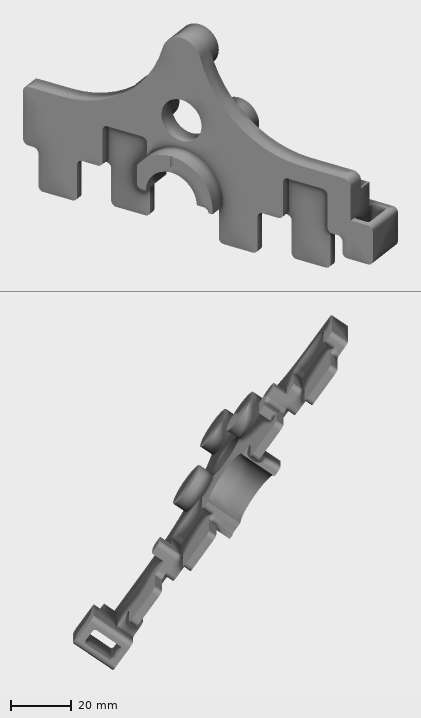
import cadquery as cq
import math


plate_thickness = 6.5
plate_left = -61.4
plate_right = 65.6
wing_top = 22.1
plate_corner_radius = 1.9
right_corner_radius = 3.0

peak_top = 57.2
peak_radius = 15.0 / 2
peak_z = peak_top - peak_radius
flank_start_x = 46.5

boss_diameter = 15.5
hole_diameter = 15.5
boss_rear = 11.4
boss_x = 15.5
hole_z = 26.2

tab_width = 15.0
tab_bottom = -15.9
tab_thickness = 2.8
inner_tab_x = 22.0
outer_tab_x = 48.0
recess_clearance = 1.1
recess_top = 15.9
round_radius = 1.9

arch_center_z = -0.4
arch_outer_radius = 16.0
arch_inner_radius = 9.9
arch_height = plate_thickness
arch_bottom = -1.8
mark_width = 0.8
mark_bottom = 11.2
mark_depth = 0.4

lug_outer_radius = 35.2
lug_inner_x = 26.3
lug_crest_x = 31.8
lug_top = 6.9
lug_corner_z = 5.3
lug_bottom = -6.1
lug_slope_end_z = 3.5
lug_slope_radius = 6.4
lug_corner_radius = 2.7

clip_left = 62.3
clip_right = 74.1
clip_top = 6.9
clip_bottom = -7.7
clip_rear = 16.0
window_right = 71.4
window_front = 2.0
window_rear = 13.4
window_corner_radius = 1.0
step_top = 16.0
step_rear = 11.8


def at_depth(y):
    """Front-facing sketch plane at depth y; extruding by a negative length runs toward +Y."""
    return cq.Workplane("XZ", origin=(0, y, 0))


def box(x_range, y_range, z_range):
    """Box spanning the given ranges."""
    size = [high - low for low, high in (x_range, y_range, z_range)]
    corner = (x_range[0], y_range[0], z_range[0])
    return cq.Workplane("XY").box(*size, centered=False).translate(corner)


def cylinder(x, z, radius, y_front, y_rear):
    """Round bar along Y."""
    return at_depth(y_front).center(x, z).circle(radius).extrude(y_front - y_rear)


def plate_body():
    """Plate above the shoulder line, with flanks tangent to the wings and to the peak boss."""
    rise = peak_z - wing_top
    flank_radius = (flank_start_x**2 + rise**2 - peak_radius**2) / (2 * (rise + peak_radius))
    flank_center_z = wing_top + flank_radius
    peak_angle = math.atan2(flank_center_z - peak_z, flank_start_x)
    tangent_x = peak_radius * math.cos(peak_angle)
    tangent_z = peak_z + peak_radius * math.sin(peak_angle)
    body = (
        at_depth(0)
        .moveTo(plate_left, 0)
        .lineTo(plate_left, wing_top)
        .lineTo(-flank_start_x, wing_top)
        .radiusArc((-tangent_x, tangent_z), -flank_radius)
        .lineTo(tangent_x, tangent_z)
        .radiusArc((flank_start_x, wing_top), -flank_radius)
        .lineTo(plate_right, wing_top)
        .lineTo(plate_right, 0)
        .close()
        .extrude(-plate_thickness)
    )
    body = body.edges("|Y and <X").fillet(plate_corner_radius)
    right_corner = cq.selectors.NearestToPointSelector((plate_right, plate_thickness / 2, wing_top))
    return body.edges("|Y").edges(right_corner).fillet(right_corner_radius)


def tab(x):
    """Full-thickness tab, rounded at its lower corners."""
    half = tab_width / 2
    bar = box((x - half, x + half), (0, plate_thickness), (tab_bottom, recess_top))
    return bar.edges("|Y and <Z").fillet(round_radius)


def shoulder_fillet(wall_x, side):
    """Concave fillet under the shoulder line, on the given side (-1 or +1) of a vertical wall."""
    end_x = wall_x + side * round_radius
    return (
        at_depth(0)
        .moveTo(wall_x, 0)
        .lineTo(end_x, 0)
        .radiusArc((wall_x, -round_radius), side * -round_radius)
        .close()
        .extrude(-plate_thickness)
    )


def recess(x, y_range):
    """Clearance around a neighbouring tab, with rounded top corners and a flared mouth."""
    half = tab_width / 2 + recess_clearance
    pocket = box((x - half, x + half), y_range, (tab_bottom, recess_top))
    pocket = pocket.edges("|Y and >Z").fillet(round_radius)
    mouth_half = half + round_radius
    mouth = (
        at_depth(y_range[0])
        .moveTo(x - mouth_half, 0)
        .radiusArc((x - half, round_radius), -round_radius)
        .lineTo(x + half, round_radius)
        .radiusArc((x + mouth_half, 0), -round_radius)
        .lineTo(x + mouth_half, tab_bottom)
        .lineTo(x - mouth_half, tab_bottom)
        .close()
        .extrude(y_range[0] - y_range[1])
    )
    return pocket.union(mouth)


def lug_blank():
    """Right-hand lug: outer arc, rounded corner and a crest sloping toward the middle."""
    corner_x = math.sqrt(lug_outer_radius**2 - lug_corner_z**2)
    outer_bottom_x = math.sqrt(lug_outer_radius**2 - lug_bottom**2)
    return (
        at_depth(plate_thickness)
        .moveTo(lug_inner_x, lug_bottom)
        .lineTo(lug_inner_x, lug_slope_end_z)
        .radiusArc((lug_crest_x, lug_top), lug_slope_radius)
        .radiusArc((corner_x, lug_corner_z), lug_corner_radius)
        .threePointArc((lug_outer_radius, 0), (outer_bottom_x, lug_bottom))
        .close()
        .extrude(plate_thickness - boss_rear)
    )


def below_shoulder(x_range):
    """Space below the shoulder line behind the plate."""
    return box(x_range, (plate_thickness, boss_rear), (tab_bottom, 0))


front_tabs = (-outer_tab_x, inner_tab_x)
rear_tabs = (-inner_tab_x, outer_tab_x)

result = plate_body()
for tab_x in front_tabs + rear_tabs:
    result = result.union(tab(tab_x))
    for side in (-1, 1):
        result = result.union(shoulder_fillet(tab_x + side * tab_width / 2, side))

arch = cylinder(0, arch_center_z, arch_outer_radius, -arch_height, 0)
arch_reach = (-arch_outer_radius, arch_outer_radius)
arch = arch.cut(box(arch_reach, (-arch_height, 0), (-2 * arch_outer_radius, arch_bottom)))
result = result.union(arch)

tab_gap_half = inner_tab_x - tab_width / 2
foot_half = tab_gap_half - round_radius
opening = (
    at_depth(-arch_height)
    .moveTo(-tab_gap_half, -round_radius)
    .radiusArc((-foot_half, 0), round_radius)
    .lineTo(foot_half, 0)
    .radiusArc((tab_gap_half, -round_radius), round_radius)
    .close()
    .extrude(-arch_height - plate_thickness)
)
result = result.cut(opening)
result = result.cut(cylinder(0, arch_center_z, arch_inner_radius, -arch_height, plate_thickness))

mark = box(
    (-mark_width / 2, mark_width / 2),
    (-arch_height, -arch_height + mark_depth),
    (mark_bottom, arch_outer_radius),
)
result = result.cut(mark)

result = result.union(cylinder(0, peak_z, peak_radius, 0, boss_rear))
for x in (-boss_x, boss_x):
    result = result.union(cylinder(x, hole_z, boss_diameter / 2, plate_thickness, boss_rear))
result = result.cut(cylinder(0, hole_z, hole_diameter / 2, 0, plate_thickness))

left_blank = lug_blank().mirror("YZ")
tab_side_x = -inner_tab_x - tab_width / 2
left_lug = left_blank.cut(below_shoulder((plate_left, tab_side_x)))
corner_fill = shoulder_fillet(tab_side_x, -1).translate((0, plate_thickness, 0))
corner_fill = corner_fill.intersect(left_blank)
right_lug = lug_blank().cut(below_shoulder((0, plate_right)))
result = result.union(left_lug).union(corner_fill).union(right_lug)

for tab_x in rear_tabs:
    result = result.cut(recess(tab_x, (-arch_height, plate_thickness - tab_thickness)))
for tab_x in front_tabs:
    result = result.cut(recess(tab_x, (tab_thickness, boss_rear)))

clip = box((clip_left, clip_right), (0, clip_rear), (clip_bottom, clip_top))
clip = clip.edges("|Y").edges(">X or <Z").fillet(round_radius)
step = box((clip_left, plate_right), (0, step_rear), (0, step_top))
window = box((plate_right, window_right), (window_front, window_rear), (clip_bottom, clip_top))
window = window.edges("|Z").fillet(window_corner_radius)
clip_fillet = shoulder_fillet(clip_left, -1)
result = result.union(clip).union(step).union(clip_fillet).cut(window)